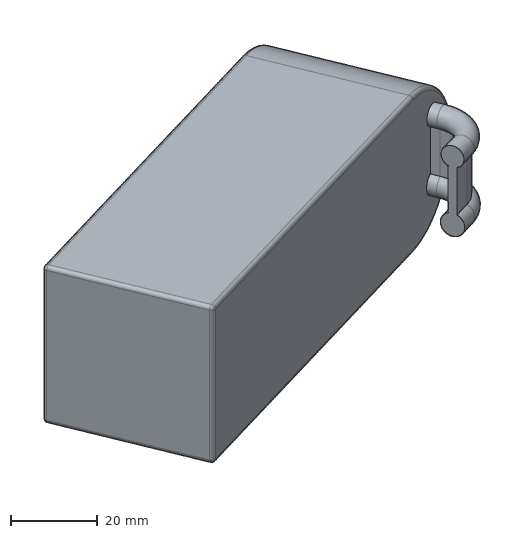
import cadquery as cq

body_length = 127.0
body_width = 43.5
body_height = 42.0
edge_radius = 1.0
end_radius = body_height / 2

hook_root_setback = 10.7
hook_straight = 2.5
hook_bend_radius = 9.9
hook_tip_length = 5.3
upper_rod_diameter = 5.8
lower_rod_diameter = 6.2
upper_rod_z = 10.7
lower_rod_z = -7.5
web_thickness = 2.3

side_x = body_width / 2
round_end_y = body_length / 2
hook_root_y = round_end_y - hook_root_setback
bend_start_x = side_x + hook_straight
bend_end_x = bend_start_x + hook_bend_radius
bend_end_y = hook_root_y - hook_bend_radius
tip_y = bend_end_y - hook_tip_length


def make_body():
    arc_center_y = round_end_y - end_radius
    profile = (
        cq.Workplane("YZ", origin=(-side_x, 0, 0))
        .moveTo(-round_end_y, -end_radius)
        .lineTo(arc_center_y, -end_radius)
        .threePointArc((round_end_y, 0), (arc_center_y, end_radius))
        .lineTo(-round_end_y, end_radius)
        .close()
    )
    return profile.extrude(body_width).edges().fillet(edge_radius)


def hook_path(z):
    """Run out from the side face, then bend toward -Y."""
    return (
        cq.Workplane("XY", origin=(0, 0, z))
        .moveTo(side_x, hook_root_y)
        .lineTo(bend_start_x, hook_root_y)
        .tangentArcPoint((bend_end_x, bend_end_y), relative=False)
        .lineTo(bend_end_x, tip_y)
    )


def make_rod(diameter, z):
    section = cq.Workplane("YZ", origin=(side_x, hook_root_y, z)).circle(diameter / 2)
    return section.sweep(hook_path(z))


def make_web():
    height = upper_rod_z - lower_rod_z
    middle_z = (upper_rod_z + lower_rod_z) / 2
    section = cq.Workplane("YZ", origin=(side_x, hook_root_y, middle_z)).rect(web_thickness, height)
    return section.sweep(hook_path(middle_z))


result = (
    make_body()
    .union(make_rod(upper_rod_diameter, upper_rod_z))
    .union(make_rod(lower_rod_diameter, lower_rod_z))
    .union(make_web())
)